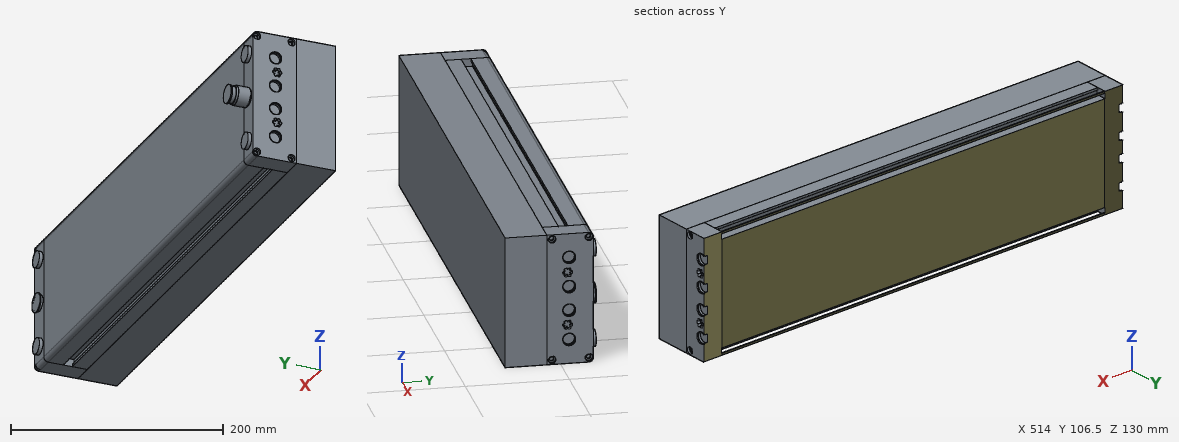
import cadquery as cq
import math

LENGTH = 514.0
HEIGHT = 130.0
FOAM_DEPTH = 40.0
BLOCK_DEPTH = 85.0
BACK_FILLET = 4.5

CAP_LENGTH = 22.0
SLOT_NEAR_Y = 55.5
SLOT_WIDTH = 9.0
SLOT_LIP = 2.5
SLOT_DEPTH = 7.5
SLOT_UNDERCUT = 1.5

PORT_Y = 61.5
PORT_RADIUS = 6.0
PORT_DEPTH = 1.5
PORT_INNER_RADIUS = 5.5
PORT_INNER_DEPTH = 4.0
PORT_HEIGHTS = (12.0, 41.0)
SCREW_Y = 60.0
SCREW_Z = 26.0
SCREW_CORE_RADIUS = 2.85
SCREW_DEPTH = 4.0
LOBE_COUNT = 6
LOBE_CIRCLE_RADIUS = 3.2
LOBE_RADIUS = 1.5
CORNER_FRONT_Y = 45.0
CORNER_BACK_Y = 80.5
CORNER_INSET = 4.5
CORNER_Z = HEIGHT / 2 - CORNER_INSET
CORNER_RADIUS = 3.5
CORNER_DEPTH = 2.5
SOCKET_RADIUS = 2.0
SOCKET_DEPTH = 2.0

FITTING_INSET = 12.0
DISC_Z = 45.0
DISC_RADIUS = 8.0
DISC_HEIGHT = 3.5
HOSE_STEPS = ((8.0, 1.5), (10.0, 14.0), (9.0, 16.0), (8.0, 20.0), (9.0, 21.5))
PLUG_STEPS = ((8.0, 2.5), (10.0, 3.5))


def block(length, near_y, far_y):
    """Full-height block centred on X = 0, from near_y to far_y."""
    depth = far_y - near_y
    return cq.Workplane("XY").box(length, depth, HEIGHT).translate((0, near_y + depth / 2, 0))


def backing(length):
    """Block behind the foam with both of its long back edges rounded."""
    return block(length, FOAM_DEPTH, BLOCK_DEPTH).edges("|X and >Y").fillet(BACK_FILLET)


def make_profile():
    """Profile with an undercut T-groove along its top and bottom faces."""
    length = LENGTH - 2 * CAP_LENGTH
    slot_y = SLOT_NEAR_Y + SLOT_WIDTH / 2
    profile = backing(length)
    for side in (1, -1):
        mouth = cq.Workplane("XY").box(length, SLOT_WIDTH, 2 * SLOT_DEPTH)
        profile = profile.cut(mouth.translate((0, slot_y, side * HEIGHT / 2)))
        tee_height = SLOT_DEPTH - SLOT_LIP
        tee = cq.Workplane("XY").box(length, SLOT_WIDTH + 2 * SLOT_UNDERCUT, tee_height)
        profile = profile.cut(tee.translate((0, slot_y, side * (HEIGHT / 2 - SLOT_LIP - tee_height / 2))))
    return profile


def end_recess(y, z, radius, depth):
    """Round cutter sunk into the outer face of the left cap."""
    return cq.Workplane("YZ", origin=(-CAP_LENGTH / 2, y, z)).circle(radius).extrude(depth)


def screw_recess(z):
    """Six-lobed drive recess cutter for the outer face of the left cap."""
    recess = end_recess(SCREW_Y, z, SCREW_CORE_RADIUS, SCREW_DEPTH)
    for i in range(LOBE_COUNT):
        angle = 2 * math.pi * i / LOBE_COUNT
        lobe_y = SCREW_Y + LOBE_CIRCLE_RADIUS * math.cos(angle)
        lobe_z = z + LOBE_CIRCLE_RADIUS * math.sin(angle)
        recess = recess.union(end_recess(lobe_y, lobe_z, LOBE_RADIUS, SCREW_DEPTH))
    return recess


def turned_fitting(steps, z):
    """Stepped round fitting standing on the back face of the left cap."""
    x = FITTING_INSET - CAP_LENGTH / 2
    plane = cq.Plane(origin=(x, BLOCK_DEPTH, z), xDir=(1, 0, 0), normal=(0, 1, 0))
    start = 0
    fitting = cq.Workplane(plane)
    for radius, end in steps:
        step = cq.Workplane(plane).workplane(offset=start).circle(radius).extrude(end - start)
        fitting = fitting.union(step)
        start = end
    return fitting


def make_cap(centre_steps):
    """Left-hand end cap, centred on X = 0, with the given fitting in the middle of its back."""
    cap = backing(CAP_LENGTH)
    for side in (1, -1):
        for height in PORT_HEIGHTS:
            cap = cap.cut(end_recess(PORT_Y, side * height, PORT_RADIUS, PORT_DEPTH))
            cap = cap.cut(end_recess(PORT_Y, side * height, PORT_INNER_RADIUS, PORT_INNER_DEPTH))
        cap = cap.cut(screw_recess(side * SCREW_Z))
        for y in (CORNER_FRONT_Y, CORNER_BACK_Y):
            cap = cap.cut(end_recess(y, side * CORNER_Z, CORNER_RADIUS, CORNER_DEPTH))
            cap = cap.cut(end_recess(y, side * CORNER_Z, SOCKET_RADIUS, CORNER_DEPTH + SOCKET_DEPTH))
        cap = cap.union(turned_fitting(((DISC_RADIUS, DISC_HEIGHT),), side * DISC_Z))
    return cap.union(turned_fitting(centre_steps, 0))


cap_x = (LENGTH - CAP_LENGTH) / 2
foam = block(LENGTH, 0, FOAM_DEPTH)
profile = make_profile()
hose_cap = make_cap(HOSE_STEPS).translate((-cap_x, 0, 0))
plug_cap = make_cap(PLUG_STEPS).mirror("YZ").translate((cap_x, 0, 0))

result = cq.Compound.makeCompound([foam.val(), profile.val(), hose_cap.val(), plug_cap.val()])